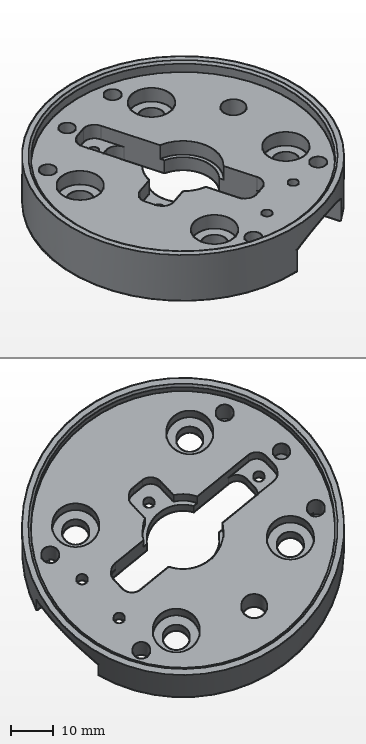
import cadquery as cq
import math

OUTER_RADIUS = 37.5
HEIGHT = 13.9
BOTTOM_CHAMFER = 0.4

TOP_RECESS_RADIUS = 35.4
FLOOR_Z = 10.8
LIP_CHAMFER = 0.6

UNDER_RECESS_RADIUS = 31.35
UNDER_RECESS_Z = 2.85

LEDGE_Z = 6.75
UPPER_BORE_RADIUS = 9.45
LOWER_BORE_RADIUS = 8.5
SLOT_WIDTH = 8.85
SLOT_CORNER_RADIUS = 3.0
SLOT_RIGHT_X = 20.1
UPPER_SLOT_LEFT_X = -27.1
LOWER_SLOT_LEFT_X = -21.0
TAB_BOTTOM_Y = -16.0

MOUNT_OFFSET = 17.7
MOUNT_DIAMETER = 6.4
COUNTERBORE_DIAMETER = 11.0

TOP_HOLE_Y = 25.05
TOP_HOLE_DIAMETER = 6.1
SCREW_DIAMETER = 2.6
CLAMP_SCREW_X = 25.6
CLAMP_SCREW_Y = 6.5
SLOT_SCREW_X = -23.55
TAB_SCREW_Y = -12.0

POINT_ANGLE = 118.0
RIM_HOLE_X = 27.1
RIM_HOLE_Y = 16.05
RIM_HOLE_DIAMETER = 4.2
RIM_HOLE_END_Z = 2.25
SIDE_HOLE_X = -30.5
SIDE_HOLE_DIAMETER = 4.05
SIDE_HOLE_END_Z = 4.5

ENTRY_WIDTH = 21.75
ENTRY_SIDE_Z = 6.75
ENTRY_TOP_Z = 10.1
CABLE_GROOVE_RADIUS = 3.15


def cylinder(radius, bottom, top, x=0.0, y=0.0):
    return cq.Workplane("XY", origin=(x, y, bottom)).circle(radius).extrude(top - bottom)


def block(x_min, x_max, y_min, y_max, bottom, top):
    size = (x_max - x_min, y_max - y_min, top - bottom)
    return cq.Workplane("XY").box(*size, centered=False).translate((x_min, y_min, bottom))


def make_body():
    body = cylinder(OUTER_RADIUS, 0, HEIGHT).faces("<Z").edges().chamfer(BOTTOM_CHAMFER)
    body = body.cut(cylinder(TOP_RECESS_RADIUS, FLOOR_Z, HEIGHT))
    lip_edge = body.faces(">Z").edges(cq.selectors.RadiusNthSelector(0))
    body = lip_edge.chamfer(LIP_CHAMFER)
    return body.cut(cylinder(UNDER_RECESS_RADIUS, 0, UNDER_RECESS_Z))


def rounded_slot(left, bottom, top):
    half = SLOT_WIDTH / 2
    return block(left, SLOT_RIGHT_X, -half, half, bottom, top).edges("|Z").fillet(SLOT_CORNER_RADIUS)


def make_keyhole():
    half = SLOT_WIDTH / 2
    tab = block(-half, half, TAB_BOTTOM_Y, 0, LEDGE_Z, FLOOR_Z)
    tab = tab.edges("|Z and <Y").fillet(SLOT_CORNER_RADIUS)
    upper = cylinder(UPPER_BORE_RADIUS, LEDGE_Z, FLOOR_Z)
    upper = upper.union(rounded_slot(UPPER_SLOT_LEFT_X, LEDGE_Z, FLOOR_Z)).union(tab)
    lower = cylinder(LOWER_BORE_RADIUS, 0, LEDGE_Z)
    lower = lower.union(rounded_slot(LOWER_SLOT_LEFT_X, 0, LEDGE_Z))
    return upper.union(lower)


def drilled_hole(x, y, diameter, end_z):
    """Blind hole from the floor, ending in a conical drill point."""
    radius = diameter / 2
    tip_z = end_z - radius / math.tan(math.radians(POINT_ANGLE / 2))
    profile = [(0, FLOOR_Z), (radius, FLOOR_Z), (radius, end_z), (0, tip_z)]
    hole = cq.Workplane("XZ").polyline(profile).close().revolve(360, (0, 0, 0), (0, 1, 0))
    return hole.translate((x, y, 0))


def make_cable_entry():
    half = ENTRY_WIDTH / 2
    pocket = block(SLOT_RIGHT_X, OUTER_RADIUS, -half, half, 0, LEDGE_Z)
    arch = (
        cq.Workplane("YZ", origin=(UNDER_RECESS_RADIUS, 0, 0))
        .moveTo(-half, 0)
        .lineTo(-half, ENTRY_SIDE_Z)
        .threePointArc((0, ENTRY_TOP_Z), (half, ENTRY_SIDE_Z))
        .lineTo(half, 0)
        .close()
        .extrude(OUTER_RADIUS - UNDER_RECESS_RADIUS)
    )
    link_start = SLOT_RIGHT_X - SLOT_CORNER_RADIUS
    link = block(link_start, SLOT_RIGHT_X, -SLOT_WIDTH / 2, SLOT_WIDTH / 2, 0, LEDGE_Z)
    groove = (
        cq.Workplane("YZ", origin=(link_start, 0, LEDGE_Z))
        .circle(CABLE_GROOVE_RADIUS)
        .extrude(OUTER_RADIUS - link_start)
    )
    return pocket.union(arch).union(link).union(groove)


result = make_body().cut(make_keyhole()).cut(make_cable_entry())

for x_side in (-1, 1):
    for y_side in (-1, 1):
        mount_x = x_side * MOUNT_OFFSET
        mount_y = y_side * MOUNT_OFFSET
        result = result.cut(cylinder(MOUNT_DIAMETER / 2, 0, FLOOR_Z, mount_x, mount_y))
        result = result.cut(cylinder(COUNTERBORE_DIAMETER / 2, LEDGE_Z, FLOOR_Z, mount_x, mount_y))
        rim_x = x_side * RIM_HOLE_X
        rim_y = y_side * RIM_HOLE_Y
        result = result.cut(drilled_hole(rim_x, rim_y, RIM_HOLE_DIAMETER, RIM_HOLE_END_Z))

result = result.cut(drilled_hole(SIDE_HOLE_X, 0, SIDE_HOLE_DIAMETER, SIDE_HOLE_END_Z))
result = result.cut(cylinder(TOP_HOLE_DIAMETER / 2, 0, FLOOR_Z, 0, TOP_HOLE_Y))

screw_positions = [
    (CLAMP_SCREW_X, CLAMP_SCREW_Y),
    (CLAMP_SCREW_X, -CLAMP_SCREW_Y),
    (SLOT_SCREW_X, 0),
    (0, TAB_SCREW_Y),
]
for screw_x, screw_y in screw_positions:
    result = result.cut(cylinder(SCREW_DIAMETER / 2, 0, FLOOR_Z, screw_x, screw_y))